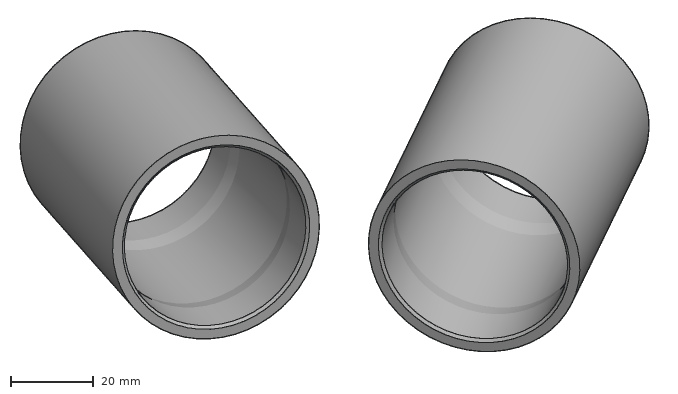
import cadquery as cq

length = 73.0
outer_radius = 26.2

land_radius = 23.0
mouth_chamfer = 0.7
taper_start = 13.15
taper_length = 4.75
middle_radius = 23.7

end = length / 2
land_inner_end = end - taper_start
middle_end = land_inner_end - taper_length

half_bore = [
    (middle_end, middle_radius),
    (land_inner_end, land_radius),
    (end - mouth_chamfer, land_radius),
    (end, land_radius + mouth_chamfer),
]
mirrored_half = [(-x, radius) for x, radius in reversed(half_bore)]
wall_profile = [(-end, outer_radius)] + mirrored_half + half_bore + [(end, outer_radius)]

result = (
    cq.Workplane("XZ")
    .polyline(wall_profile)
    .close()
    .revolve(360, (0, 0, 0), (1, 0, 0))
)